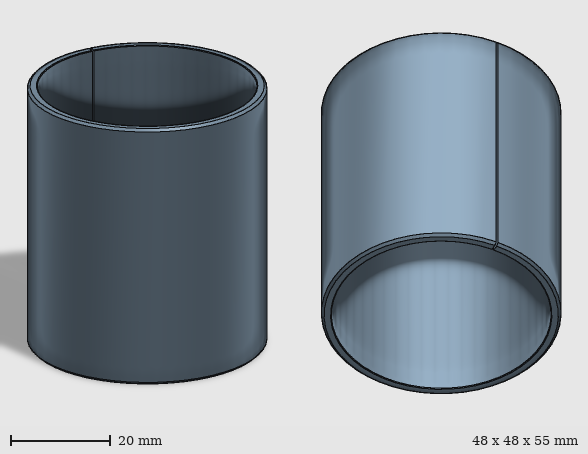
import cadquery as cq

length = 55.0
outer_diameter = 48.0
inner_diameter = 44.0
outer_chamfer = 0.55
inner_chamfer = 0.15
seam_angle = 1.0

outer_radius = outer_diameter / 2
inner_radius = inner_diameter / 2
half_length = length / 2

wall_section = (
    cq.Workplane("XZ")
    .moveTo(-inner_radius, -half_length + inner_chamfer)
    .lineTo(-inner_radius, half_length - inner_chamfer)
    .lineTo(-inner_radius - inner_chamfer, half_length)
    .lineTo(-outer_radius + outer_chamfer, half_length)
    .lineTo(-outer_radius, half_length - outer_chamfer)
    .lineTo(-outer_radius, -half_length + outer_chamfer)
    .lineTo(-outer_radius + outer_chamfer, -half_length)
    .lineTo(-inner_radius - inner_chamfer, -half_length)
    .close()
)

result = wall_section.revolve(360 - seam_angle, (0, 0, 0), (0, 1, 0))